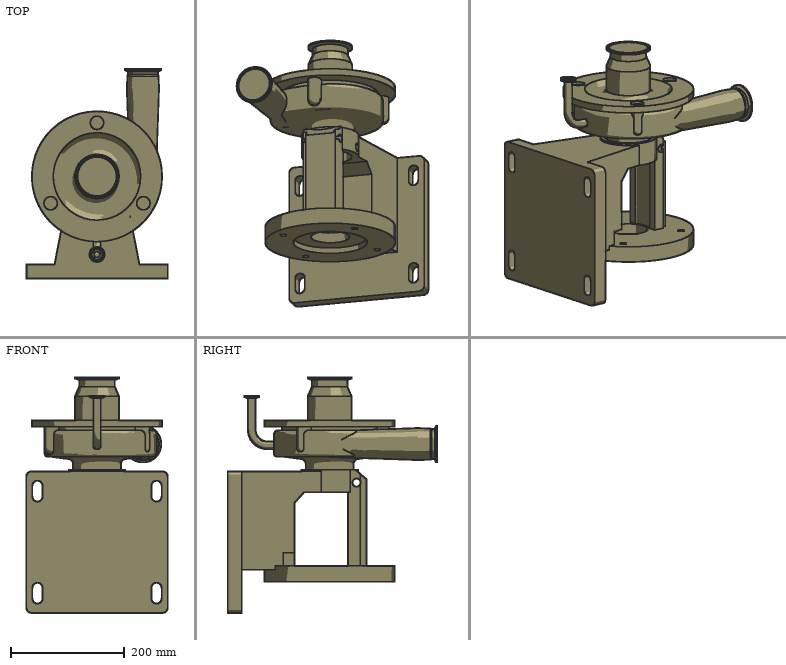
import cadquery as cq
import math


PLATE_SIZE = 250.0
PLATE_THICKNESS = 25.0
PLATE_BACK_Y = -180.0
PLATE_FRONT_Y = PLATE_BACK_Y + PLATE_THICKNESS
PLATE_CORNER_RADIUS = 10.0
SLOT_LENGTH = 36.5
SLOT_WIDTH = 17.5
SLOT_SPACING_X = 210.0
SLOT_SPACING_Z = 180.0

FLANGE_RADIUS = 115.0
FLANGE_BOTTOM_Z = 55.0
FLANGE_THICKNESS = 28.0
FLANGE_TOP_Z = FLANGE_BOTTOM_Z + FLANGE_THICKNESS
FLANGE_BORE_RADIUS = 34.0
SPIGOT_RADIUS = 65.0
SPIGOT_DEPTH = 10.0
FLANGE_BOLT_DISTANCE = 66.0
FLANGE_BOLT_DIAMETER = 11.0

RING_RADIUS = 50.0
RING_BORE_RADIUS = 38.0
RING_BOTTOM_Z = 213.0
RING_TOP_Z = 253.0
RING_HOLE_Z = 226.0
RING_HOLE_DIAMETER = 14.0

ARM_WALL_HALF_WIDTH = 75.0
ARM_RING_HALF_WIDTH = 47.7
ARM_RING_Y = -15.0
ARM_FACE_Y = -62.0
ARM_BOTTOM_Z = 76.0
ARM_CORNER_CHAMFER_Y = 17.0
ARM_CORNER_CHAMFER_Z = 19.0
BOLT_RELIEF_Y = 20.0
BOLT_RELIEF_X = 38.0
BOLT_RELIEF_HEIGHT = 23.0

COLUMN_HALF_WIDTH = 34.0
COLUMN_FACE_Y = 32.0
COLUMN_SHOULDER_Y = 54.0
COLUMN_SHOULDER_RADIUS = 3.5
COLUMN_RIB_HALF_WIDTH = 26.0
COLUMN_BACK_Y = 65.0
COLUMN_BACK_RADIUS = 4.0
COLUMN_CHAMFER_Y = 20.0
COLUMN_CHAMFER_Z = 17.0
COLUMN_HOLE_Y = 47.5
COLUMN_HOLE_Z = 230.0
COLUMN_HOLE_DIAMETER = 14.0

NECK_RADIUS = 42.5
NECK_STRAIGHT_TOP_Z = 263.5
NECK_FLARE_RADIUS = 8.0
VOLUTE_BOTTOM_Z = 275.6
VOLUTE_TOP_Z = 322.5
VOLUTE_START_RADIUS = 88.0
VOLUTE_LINEAR_GROWTH = 4.0
VOLUTE_SQUARE_GROWTH = 0.6
VOLUTE_GROWING_QUARTERS = 3
VOLUTE_TOP_FILLET = 8.0
VOLUTE_BOTTOM_FILLET = 6.0
UNDERSIDE_CONE_RADIUS = 82.0

COVER_RADIUS = 115.0
COVER_BOTTOM_Z = 328.5
COVER_TOP_Z = 340.0
COLLAR_RADIUS = 84.5
DISH_RIM_RADIUS = 77.0
DISH_SLOPE_RADIUS = 71.0
DISH_SLOPE_Z = 333.5
DISH_FLOOR_OUTER_RADIUS = 61.0
DISH_FLOOR_INNER_RADIUS = 54.0
DISH_FLOOR_Z = 329.5
DISH_PIPE_Z = 338.5

BOSS_COUNT = 3
BOSS_CIRCLE_RADIUS = 94.5
BOSS_RADIUS = 11.0
BOSS_DOME_Z = 291.0
BOSS_RECESS_DIAMETER = 23.5
BOSS_RECESS_DEPTH = 4.5

INLET_RADIUS = 39.0
INLET_CONE_BOTTOM_Z = 382.0
INLET_CONE_TOP_Z = 399.0
INLET_TUBE_RADIUS = 31.7
INLET_TOP_Z = 416.0
INLET_CLAMP_RADIUS = 39.0

OUTLET_X = 81.0
OUTLET_Z = 298.0
OUTLET_END_Y = 190.0
OUTLET_ROOT_RADIUS = 23.2
OUTLET_MAX_RADIUS = 28.6
OUTLET_MAX_Y = 156.0
OUTLET_BEAD_RADIUS = 27.8
OUTLET_BEAD_START_Y = 173.0
OUTLET_BEAD_END_Y = 177.0
OUTLET_TUBE_RADIUS = 26.6
OUTLET_TUBE_Y = 180.0
OUTLET_REDUCER_RADIUS = 28.2
OUTLET_REDUCER_Y = 165.0
OUTLET_CLAMP_RADIUS = 32.5

CLAMP_RIM = 2.4
CLAMP_TAPER = 2.6
GROOVE_RADIUS = 1.0

DRAIN_Y = -137.5
DRAIN_Z = 295.6
DRAIN_BEND_RADIUS = 28.0
DRAIN_RADIUS = 7.0
DRAIN_BORE_RADIUS = 5.3
DRAIN_ROOT_Y = -85.0
DRAIN_BORE_END_Y = -98.0
DRAIN_TOP_Z = 383.5
DRAIN_CLAMP_RADIUS = 13.5


def cylinder(radius, bottom, top):
    return cq.Workplane("XY").workplane(offset=bottom).circle(radius).extrude(top - bottom)


def cross_hole(diameter, y, z, start_x, end_x):
    return (
        cq.Workplane("YZ").workplane(offset=start_x).center(y, z)
        .circle(diameter / 2).extrude(end_x - start_x)
    )


def arm_half_width(y):
    share = (y - ARM_RING_Y) / (PLATE_FRONT_Y - ARM_RING_Y)
    return ARM_RING_HALF_WIDTH + share * (ARM_WALL_HALF_WIDTH - ARM_RING_HALF_WIDTH)


def wall_plate():
    plate = (
        cq.Workplane("XY").box(PLATE_SIZE, PLATE_THICKNESS, PLATE_SIZE, centered=(True, False, False))
        .translate((0, PLATE_BACK_Y, 0))
        .edges("|Y").fillet(PLATE_CORNER_RADIUS)
    )
    slots = (
        cq.Workplane("XZ", origin=(0, PLATE_FRONT_Y, PLATE_SIZE / 2))
        .rarray(SLOT_SPACING_X, SLOT_SPACING_Z, 2, 2)
        .slot2D(SLOT_LENGTH, SLOT_WIDTH, 90).extrude(PLATE_THICKNESS)
    )
    return plate.cut(slots)


def motor_flange():
    return cylinder(FLANGE_RADIUS, FLANGE_BOTTOM_Z, FLANGE_TOP_Z)


def motor_flange_openings():
    bore = cylinder(FLANGE_BORE_RADIUS, FLANGE_BOTTOM_Z, FLANGE_TOP_Z)
    spigot = cylinder(SPIGOT_RADIUS, FLANGE_BOTTOM_Z, FLANGE_BOTTOM_Z + SPIGOT_DEPTH)
    bolts = (
        cq.Workplane("XY").workplane(offset=FLANGE_BOTTOM_Z)
        .rarray(2 * FLANGE_BOLT_DISTANCE, 2 * FLANGE_BOLT_DISTANCE, 2, 2)
        .circle(FLANGE_BOLT_DIAMETER / 2).extrude(FLANGE_THICKNESS)
    )
    return bore.union(spigot).union(bolts)


def arm():
    plan = (
        cq.Workplane("XY")
        .moveTo(-ARM_WALL_HALF_WIDTH, PLATE_FRONT_Y)
        .lineTo(ARM_WALL_HALF_WIDTH, PLATE_FRONT_Y)
        .lineTo(ARM_RING_HALF_WIDTH, ARM_RING_Y)
        .lineTo(-ARM_RING_HALF_WIDTH, ARM_RING_Y)
        .close().extrude(PLATE_SIZE)
    )
    side = (
        cq.Workplane("YZ").workplane(offset=-ARM_WALL_HALF_WIDTH)
        .moveTo(PLATE_FRONT_Y, ARM_BOTTOM_Z)
        .lineTo(ARM_FACE_Y, ARM_BOTTOM_Z)
        .lineTo(ARM_FACE_Y, RING_BOTTOM_Z - ARM_CORNER_CHAMFER_Z)
        .lineTo(ARM_FACE_Y + ARM_CORNER_CHAMFER_Y, RING_BOTTOM_Z)
        .lineTo(ARM_RING_Y, RING_BOTTOM_Z)
        .lineTo(ARM_RING_Y, PLATE_SIZE)
        .lineTo(PLATE_FRONT_Y, PLATE_SIZE)
        .close().extrude(2 * ARM_WALL_HALF_WIDTH)
    )
    body = plan.intersect(side)
    relief_y = ARM_FACE_Y - BOLT_RELIEF_Y
    relief_x = arm_half_width(relief_y)
    relief = (
        cq.Workplane("XY").workplane(offset=FLANGE_TOP_Z)
        .moveTo(relief_x, relief_y)
        .lineTo(relief_x - BOLT_RELIEF_X, ARM_FACE_Y)
        .lineTo(relief_x, ARM_FACE_Y)
        .close().extrude(BOLT_RELIEF_HEIGHT)
    )
    return body.cut(relief).cut(relief.mirror("YZ"))


def column():
    height = RING_TOP_Z - FLANGE_TOP_Z
    plate = (
        cq.Workplane("XY", origin=(0, COLUMN_FACE_Y, FLANGE_TOP_Z))
        .box(2 * COLUMN_HALF_WIDTH, COLUMN_SHOULDER_Y - COLUMN_FACE_Y, height, centered=(True, False, False))
        .edges("|Z and >Y").fillet(COLUMN_SHOULDER_RADIUS)
    )
    rib = (
        cq.Workplane("XY", origin=(0, COLUMN_FACE_Y, FLANGE_TOP_Z))
        .box(2 * COLUMN_RIB_HALF_WIDTH, COLUMN_BACK_Y - COLUMN_FACE_Y, height, centered=(True, False, False))
        .edges("|Z and >Y").fillet(COLUMN_BACK_RADIUS)
    )
    top_chamfer = (
        cq.Workplane("YZ").workplane(offset=-COLUMN_HALF_WIDTH)
        .moveTo(COLUMN_BACK_Y, RING_TOP_Z)
        .lineTo(COLUMN_BACK_Y - COLUMN_CHAMFER_Y, RING_TOP_Z)
        .lineTo(COLUMN_BACK_Y, RING_TOP_Z - COLUMN_CHAMFER_Z)
        .close().extrude(2 * COLUMN_HALF_WIDTH)
    )
    return plate.union(rib).cut(top_chamfer)


def bracket():
    ring = cylinder(RING_RADIUS, RING_BOTTOM_Z, RING_TOP_Z)
    frame = wall_plate().union(motor_flange()).union(arm()).union(column()).union(ring)
    bore = cylinder(RING_BORE_RADIUS, FLANGE_TOP_Z, RING_TOP_Z)
    ring_hole = cross_hole(RING_HOLE_DIAMETER, 0, RING_HOLE_Z, -RING_RADIUS, 0)
    column_hole = cross_hole(
        COLUMN_HOLE_DIAMETER, COLUMN_HOLE_Y, COLUMN_HOLE_Z, -COLUMN_HALF_WIDTH, COLUMN_HALF_WIDTH
    )
    return frame.cut(bore).cut(column_hole).cut(ring_hole).cut(motor_flange_openings())


def volute_point(quarters):
    """Point on the spiral after a number of quarter turns from the +Y side."""
    radius = VOLUTE_START_RADIUS + VOLUTE_LINEAR_GROWTH * quarters + VOLUTE_SQUARE_GROWTH * quarters**2
    angle = math.radians(90 * (quarters + 1))
    return radius * math.cos(angle), radius * math.sin(angle)


def volute():
    """Chamber widening in three arcs from +Y past -X and -Y to +X, closed by a returning curve."""
    outline = cq.Workplane("XY").workplane(offset=VOLUTE_BOTTOM_Z).moveTo(*volute_point(0))
    outline = outline.threePointArc(volute_point(0.5), volute_point(1))
    for quarter in range(1, VOLUTE_GROWING_QUARTERS):
        outline = outline.tangentArcPoint(volute_point(quarter + 1), relative=False)
    outline = outline.spline([volute_point(0)], tangents=[(0, 1), (-1, 0)], includeCurrent=True)
    return (
        outline.close().extrude(VOLUTE_TOP_Z - VOLUTE_BOTTOM_Z)
        .faces(">Z").edges().fillet(VOLUTE_TOP_FILLET)
        .faces("<Z").edges().fillet(VOLUTE_BOTTOM_FILLET)
    )


def neck():
    flare_top_z = NECK_STRAIGHT_TOP_Z + NECK_FLARE_RADIUS
    return (
        cq.Workplane("XZ")
        .moveTo(0, RING_TOP_Z)
        .lineTo(NECK_RADIUS, RING_TOP_Z)
        .lineTo(NECK_RADIUS, NECK_STRAIGHT_TOP_Z)
        .tangentArcPoint((NECK_RADIUS + NECK_FLARE_RADIUS, flare_top_z), relative=False)
        .lineTo(UNDERSIDE_CONE_RADIUS, VOLUTE_BOTTOM_Z)
        .lineTo(UNDERSIDE_CONE_RADIUS, OUTLET_Z)
        .lineTo(0, OUTLET_Z)
        .close().revolve(360, (0, 0, 0), (0, 1, 0))
    )


def clamp(profile, radius, end):
    """Continue a pipe profile with a ferrule: a tapered underside, a rim and a flat end face."""
    return (
        profile.lineTo(radius, end - CLAMP_RIM)
        .lineTo(radius, end)
        .lineTo(0, end)
    )


def clamp_groove(tube_radius, clamp_radius):
    """Gasket groove for a ferrule whose end face lies in the plane Z = 0."""
    middle = (tube_radius + clamp_radius) / 2
    return (
        cq.Workplane("XZ").center(middle, 0).circle(GROOVE_RADIUS)
        .revolve(360, (-middle, 0, 0), (-middle, 1, 0))
    )


def cover_and_inlet():
    profile = (
        cq.Workplane("XZ")
        .moveTo(0, OUTLET_Z)
        .lineTo(COLLAR_RADIUS, OUTLET_Z)
        .lineTo(COLLAR_RADIUS, COVER_BOTTOM_Z)
        .lineTo(COVER_RADIUS, COVER_BOTTOM_Z)
        .lineTo(COVER_RADIUS, COVER_TOP_Z)
        .lineTo(DISH_RIM_RADIUS, COVER_TOP_Z)
        .lineTo(DISH_SLOPE_RADIUS, DISH_SLOPE_Z)
        .tangentArcPoint((DISH_FLOOR_OUTER_RADIUS, DISH_FLOOR_Z), relative=False)
        .lineTo(DISH_FLOOR_INNER_RADIUS, DISH_FLOOR_Z)
        .tangentArcPoint((INLET_RADIUS, DISH_PIPE_Z), relative=False)
        .lineTo(INLET_RADIUS, INLET_CONE_BOTTOM_Z)
        .lineTo(INLET_TUBE_RADIUS, INLET_CONE_TOP_Z)
        .lineTo(INLET_TUBE_RADIUS, INLET_TOP_Z - CLAMP_RIM - CLAMP_TAPER)
    )
    body = clamp(profile, INLET_CLAMP_RADIUS, INLET_TOP_Z).close().revolve(360, (0, 0, 0), (0, 1, 0))
    groove = clamp_groove(INLET_TUBE_RADIUS, INLET_CLAMP_RADIUS).translate((0, 0, INLET_TOP_Z))
    return body.cut(groove)


def outlet():
    """Pipe built upright along Z, then laid along +Y."""
    profile = (
        cq.Workplane("XZ")
        .lineTo(OUTLET_ROOT_RADIUS, 0)
        .lineTo(OUTLET_MAX_RADIUS, OUTLET_MAX_Y)
        .lineTo(OUTLET_REDUCER_RADIUS, OUTLET_REDUCER_Y)
        .lineTo(OUTLET_BEAD_RADIUS, OUTLET_BEAD_START_Y)
        .lineTo(OUTLET_BEAD_RADIUS, OUTLET_BEAD_END_Y)
        .lineTo(OUTLET_TUBE_RADIUS, OUTLET_TUBE_Y)
        .lineTo(OUTLET_TUBE_RADIUS, OUTLET_END_Y - CLAMP_RIM - CLAMP_TAPER)
    )
    body = clamp(profile, OUTLET_CLAMP_RADIUS, OUTLET_END_Y).close().revolve(360, (0, 0, 0), (0, 1, 0))
    groove = clamp_groove(OUTLET_TUBE_RADIUS, OUTLET_CLAMP_RADIUS).translate((0, 0, OUTLET_END_Y))
    upright = body.cut(groove)
    return upright.rotate((0, 0, 0), (1, 0, 0), -90).translate((OUTLET_X, 0, OUTLET_Z))


def boss_angles():
    return [90 + 360 * index / BOSS_COUNT for index in range(BOSS_COUNT)]


def boss():
    """Domed boss on the +X side, joined to the collar by a web."""
    post = (
        cq.Workplane("XZ")
        .moveTo(0, BOSS_DOME_Z - BOSS_RADIUS)
        .radiusArc((BOSS_RADIUS, BOSS_DOME_Z), -BOSS_RADIUS)
        .lineTo(BOSS_RADIUS, COVER_BOTTOM_Z)
        .lineTo(0, COVER_BOTTOM_Z)
        .close().revolve(360, (0, 0, 0), (0, 1, 0))
    )
    web = (
        cq.Workplane("XY").workplane(offset=BOSS_DOME_Z)
        .center(-BOSS_RADIUS, 0).rect(2 * BOSS_RADIUS, 2 * BOSS_RADIUS)
        .extrude(COVER_BOTTOM_Z - BOSS_DOME_Z)
    )
    return post.union(web).translate((BOSS_CIRCLE_RADIUS, 0, 0))


def boss_recess():
    recess = cylinder(BOSS_RECESS_DIAMETER / 2, COVER_TOP_Z - BOSS_RECESS_DEPTH, COVER_TOP_Z)
    return recess.translate((BOSS_CIRCLE_RADIUS, 0, 0))


def drain_tube(radius, root_y, top_z):
    path = (
        cq.Workplane("YZ")
        .moveTo(root_y, DRAIN_Z)
        .lineTo(DRAIN_Y + DRAIN_BEND_RADIUS, DRAIN_Z)
        .radiusArc((DRAIN_Y, DRAIN_Z + DRAIN_BEND_RADIUS), DRAIN_BEND_RADIUS)
        .lineTo(DRAIN_Y, top_z)
    )
    return cq.Workplane("XZ", origin=(0, root_y, DRAIN_Z)).circle(radius).sweep(path)


def drain():
    ferrule_bottom_z = -CLAMP_RIM - CLAMP_TAPER
    profile = cq.Workplane("XZ").moveTo(0, ferrule_bottom_z).lineTo(DRAIN_RADIUS, ferrule_bottom_z)
    ferrule = clamp(profile, DRAIN_CLAMP_RADIUS, 0).close().revolve(360, (0, 0, 0), (0, 1, 0))
    grooved = ferrule.cut(clamp_groove(DRAIN_RADIUS, DRAIN_CLAMP_RADIUS))
    pipe = drain_tube(DRAIN_RADIUS, DRAIN_ROOT_Y, DRAIN_TOP_Z - CLAMP_RIM)
    return pipe.union(grooved.translate((0, DRAIN_Y, DRAIN_TOP_Z)))


def pump():
    body = volute().union(neck()).union(cover_and_inlet()).union(outlet()).union(drain())
    for angle in boss_angles():
        body = body.union(boss().rotate((0, 0, 0), (0, 0, 1), angle))
    for angle in boss_angles():
        body = body.cut(boss_recess().rotate((0, 0, 0), (0, 0, 1), angle))
    return body.cut(drain_tube(DRAIN_BORE_RADIUS, DRAIN_BORE_END_Y, DRAIN_TOP_Z))


result = bracket().union(pump())